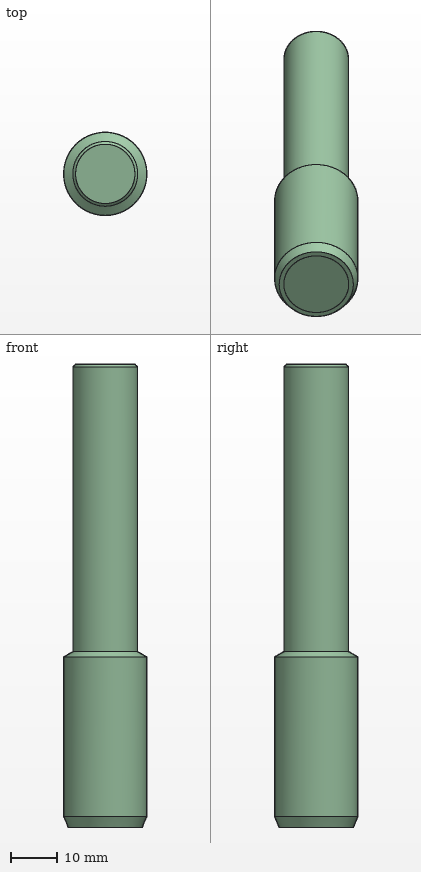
import cadquery as cq
import math

total_height = 100.0
base_radius = 9.0
base_height = 38.0
shaft_radius = 7.0
shaft_chamfer = 0.6
foot_chamfer_height = 2.4
foot_chamfer_width = 1.0
shoulder_slope_deg = 30.0

shoulder_drop = (base_radius - shaft_radius) * math.tan(math.radians(shoulder_slope_deg))


def turned(profile):
    """Revolve a closed (radius, height) half-profile about Z, starting at -Y."""
    return (
        cq.Workplane("YZ")
        .polyline([(-radius, height) for radius, height in profile])
        .close()
        .revolve(360, (0, 0, 0), (0, 1, 0))
    )


def make_base():
    """Sleeve with a tapered foot, a sloped shoulder and a through bore for the shaft."""
    return turned([
        (shaft_radius, 0),
        (base_radius - foot_chamfer_width, 0),
        (base_radius, foot_chamfer_height),
        (base_radius, base_height - shoulder_drop),
        (shaft_radius, base_height),
    ])


def make_shaft():
    """Slim pin filling the bore of the base, with a chamfered tip."""
    return turned([
        (0, 0),
        (shaft_radius, 0),
        (shaft_radius, total_height - shaft_chamfer),
        (shaft_radius - shaft_chamfer, total_height),
        (0, total_height),
    ])


base = make_base()
shaft = make_shaft()

result = cq.Compound.makeCompound([base.val(), shaft.val()])